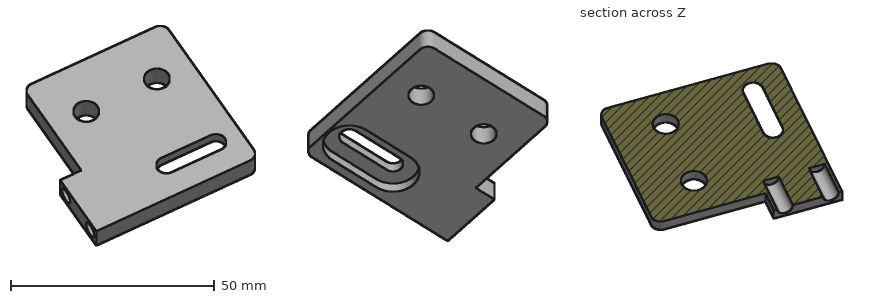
import cadquery as cq

plate_length = 47.0
plate_width = 40.0
thickness = 6.0
corner_radius = 2.5

tab_length = 18.0
tab_width = 6.0
tab_center_x = plate_length - tab_length / 2

hole_diameter = 6.3
hole_x = 14.0
hole_spacing = 20.0

slot_width = 5.0
slot_length = 19.0
slot_center_y = 26.0

recess_width = 13.0
recess_length = slot_length - slot_width + recess_width
recess_depth = thickness / 2

end_hole_diameter = 4.0
end_hole_spacing = 12.0
end_hole_depth = 10.0


def make_body():
    """Plate with its -X, -Y corner at the origin, joined to the tab."""
    plate = cq.Workplane("XY").box(plate_length, plate_width, thickness, centered=False)
    tab = (
        cq.Workplane("XY")
        .box(tab_length, tab_width, thickness, centered=False)
        .translate((plate_length - tab_length, -tab_width, 0))
    )
    rounded_plate = plate.edges("|Z and (<X or >Y)").fillet(corner_radius)
    return rounded_plate.union(tab)


def make_through_holes():
    """Two cutters for the round holes, symmetric about the plate's middle."""
    half_spacing = hole_spacing / 2
    return (
        cq.Workplane("XY")
        .center(hole_x, plate_width / 2)
        .pushPoints([(0, -half_spacing), (0, half_spacing)])
        .circle(hole_diameter / 2)
        .extrude(thickness)
    )


def make_slot(length, width, depth):
    """Cutter for a round-ended slot along Y, rising from the underside."""
    return (
        cq.Workplane("XY")
        .center(tab_center_x, slot_center_y)
        .slot2D(length, width, angle=90)
        .extrude(depth)
    )


def make_recessed_slot():
    """Through slot joined to the recess around it."""
    slot = make_slot(slot_length, slot_width, thickness)
    recess = make_slot(recess_length, recess_width, recess_depth)
    return slot.union(recess)


def make_end_holes():
    """Two cutters running in +Y from the end face of the tab."""
    half_spacing = end_hole_spacing / 2
    return (
        cq.Workplane("XZ", origin=(tab_center_x, -tab_width, thickness / 2))
        .pushPoints([(-half_spacing, 0), (half_spacing, 0)])
        .circle(end_hole_diameter / 2)
        .extrude(-end_hole_depth)
    )


result = make_body().cut(make_through_holes()).cut(make_recessed_slot()).cut(make_end_holes())